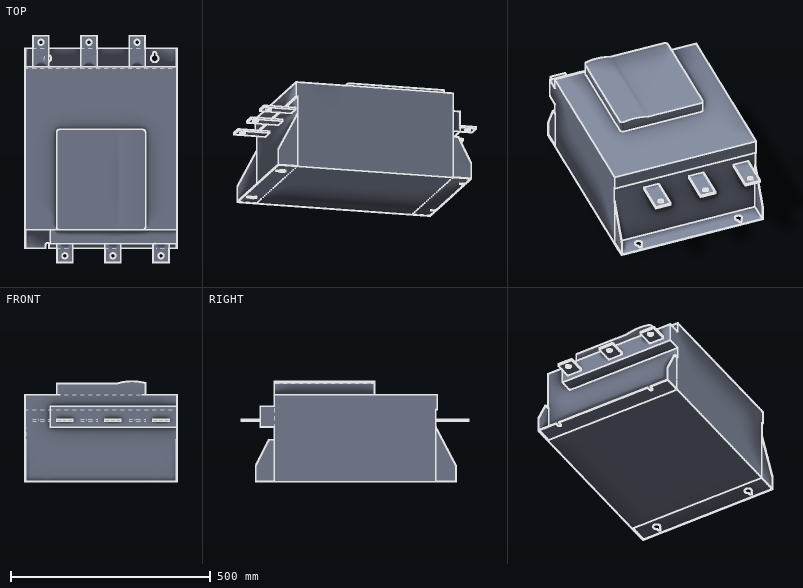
import cadquery as cq

WIDTH = 382.25
TOTAL_LENGTH = 570.4
TOTAL_HEIGHT = 253.31

BASE_LENGTH = 503.5
SHEET = 2.0
FRONT_FACE_Y = 46.5
ROOF_BACK_Y = BASE_LENGTH - 46.7
ROOF_LIP = 4.0
BACK_FACE_Y = ROOF_BACK_Y - ROOF_LIP
ROOF_Z = 219.2
LIP_BOTTOM_Z = 182.0

CHEEK_EDGE_Z = 41.1
FRONT_CHEEK_TOP_Z = 106.5
FRONT_CHEEK_TOP_LENGTH = 13.2
BACK_CHEEK_TOP_Z = 138.0

COVER_LEFT_X = 79.5
COVER_WIDTH = 223.5
COVER_LENGTH = 252.5
COVER_FLAT_Z = 247.6
COVER_CORNER_RADIUS = 8.0
CROWN_START_X = 230.8
CROWN_PEAK_X = 268.8

BLOCK_LEFT_X = 64.2
BLOCK_DEPTH = 35.3
BLOCK_BOTTOM_Z = 138.0
BLOCK_HEIGHT = 52.7

TERMINAL_COUNT = 3
TERMINAL_PITCH = 120.8
TERMINAL_WIDTH = 40.4
TERMINAL_THICKNESS = 5.0
TERMINAL_BOTTOM_Z = 153.0
TERMINAL_HOLE_DIAMETER = 13.0
TERMINAL_HOLE_TO_TIP = 17.0
FRONT_TERMINAL_X = 100.3
BACK_TERMINAL_X = 40.2
FRONT_TIP_Y = -35.5
BACK_TIP_Y = FRONT_TIP_Y + TOTAL_LENGTH

MOUNT_INSET_X = 56.3
MOUNT_SLOT_WIDTH = 8.0
FRONT_SLOT_DEPTH = 14.0
KEYHOLE_DIAMETER = 18.5
KEYHOLE_CENTRE_Y = BASE_LENGTH - 26.2
KEYHOLE_TOP_Y = BASE_LENGTH - 9.7


def box(x, y, z, dx, dy, dz):
    """Box with its lowest corner at (x, y, z)."""
    return cq.Workplane("XY").box(dx, dy, dz, centered=False).translate((x, y, z))


def make_body():
    """Solid housing with the roof overhanging the back wall."""
    profile = [
        (FRONT_FACE_Y, 0),
        (BACK_FACE_Y, 0),
        (BACK_FACE_Y, LIP_BOTTOM_Z),
        (ROOF_BACK_Y, LIP_BOTTOM_Z),
        (ROOF_BACK_Y, ROOF_Z),
        (FRONT_FACE_Y, ROOF_Z),
    ]
    return cq.Workplane("YZ").polyline(profile).close().extrude(WIDTH)


def make_cheek(left_x):
    """Sheet side plate reaching beyond the body at the front and the back."""
    profile = [
        (0, 0),
        (BASE_LENGTH, 0),
        (BASE_LENGTH, CHEEK_EDGE_Z),
        (BACK_FACE_Y, BACK_CHEEK_TOP_Z),
        (FRONT_FACE_Y, BACK_CHEEK_TOP_Z),
        (FRONT_FACE_Y, FRONT_CHEEK_TOP_Z),
        (FRONT_FACE_Y - FRONT_CHEEK_TOP_LENGTH, FRONT_CHEEK_TOP_Z),
        (0, CHEEK_EDGE_Z),
    ]
    return cq.Workplane("YZ", origin=(left_x, 0, 0)).polyline(profile).close().extrude(SHEET)


def make_cover():
    """Raised cover: flat on the left, crowned by an arc on the right, with rounded corners."""
    crown_end_x = 2 * CROWN_PEAK_X - CROWN_START_X
    outline = (
        cq.Workplane("XZ", origin=(0, FRONT_FACE_Y, 0))
        .moveTo(COVER_LEFT_X, ROOF_Z)
        .lineTo(COVER_LEFT_X, COVER_FLAT_Z)
        .lineTo(CROWN_START_X, COVER_FLAT_Z)
        .threePointArc((CROWN_PEAK_X, TOTAL_HEIGHT), (crown_end_x, COVER_FLAT_Z))
        .lineTo(crown_end_x, ROOF_Z)
        .close()
        .extrude(-COVER_LENGTH)
    )
    footprint = box(
        COVER_LEFT_X, FRONT_FACE_Y, ROOF_Z,
        COVER_WIDTH, COVER_LENGTH, TOTAL_HEIGHT - ROOF_Z,
    ).edges("|Z").fillet(COVER_CORNER_RADIUS)
    return outline.intersect(footprint)


def make_terminals(first_x, root_y, tip_y):
    """Row of flat terminals running from the housing at root_y to their drilled tips."""
    inward = 1 if root_y > tip_y else -1
    hole_y = tip_y + inward * TERMINAL_HOLE_TO_TIP
    row = cq.Workplane("XY")
    for index in range(TERMINAL_COUNT):
        centre_x = first_x + index * TERMINAL_PITCH
        bar = box(
            centre_x - TERMINAL_WIDTH / 2, min(root_y, tip_y), TERMINAL_BOTTOM_Z,
            TERMINAL_WIDTH, abs(root_y - tip_y), TERMINAL_THICKNESS,
        )
        hole = (
            cq.Workplane("XY", origin=(centre_x, hole_y, TERMINAL_BOTTOM_Z))
            .circle(TERMINAL_HOLE_DIAMETER / 2)
            .extrude(TERMINAL_THICKNESS)
        )
        row = row.add(bar.cut(hole))
    return row


def make_round_ended_slot(centre_x, open_y, end_y):
    """Cutter for a slot from open_y to a half-round end at end_y, through the base sheet."""
    radius = MOUNT_SLOT_WIDTH / 2
    end_centre_y = end_y - radius
    straight = box(centre_x - radius, open_y, 0, MOUNT_SLOT_WIDTH, end_centre_y - open_y, SHEET)
    end = cq.Workplane("XY", origin=(centre_x, end_centre_y, 0)).circle(radius).extrude(SHEET)
    return straight.union(end)


def cut_mounting_openings(part):
    """Keyholes in the back flange and open slots in the front flange."""
    for centre_x in (MOUNT_INSET_X, WIDTH - MOUNT_INSET_X):
        keyhole = (
            cq.Workplane("XY", origin=(centre_x, KEYHOLE_CENTRE_Y, 0))
            .circle(KEYHOLE_DIAMETER / 2)
            .extrude(SHEET)
        )
        part = part.cut(keyhole)
        part = part.cut(make_round_ended_slot(centre_x, KEYHOLE_CENTRE_Y, KEYHOLE_TOP_Y))
        part = part.cut(make_round_ended_slot(centre_x, 0, FRONT_SLOT_DEPTH))
    return part


base = box(0, 0, 0, WIDTH, BASE_LENGTH, SHEET)
block_front_y = FRONT_FACE_Y - BLOCK_DEPTH
block = box(
    BLOCK_LEFT_X, block_front_y, BLOCK_BOTTOM_Z,
    WIDTH - BLOCK_LEFT_X, BLOCK_DEPTH, BLOCK_HEIGHT,
)

housing = make_body().union(base).union(make_cheek(0)).union(make_cheek(WIDTH - SHEET))
housing = housing.union(make_cover()).union(block)
housing = housing.union(make_terminals(FRONT_TERMINAL_X, block_front_y, FRONT_TIP_Y))
housing = housing.union(make_terminals(BACK_TERMINAL_X, BACK_FACE_Y, BACK_TIP_Y))
result = cut_mounting_openings(housing)